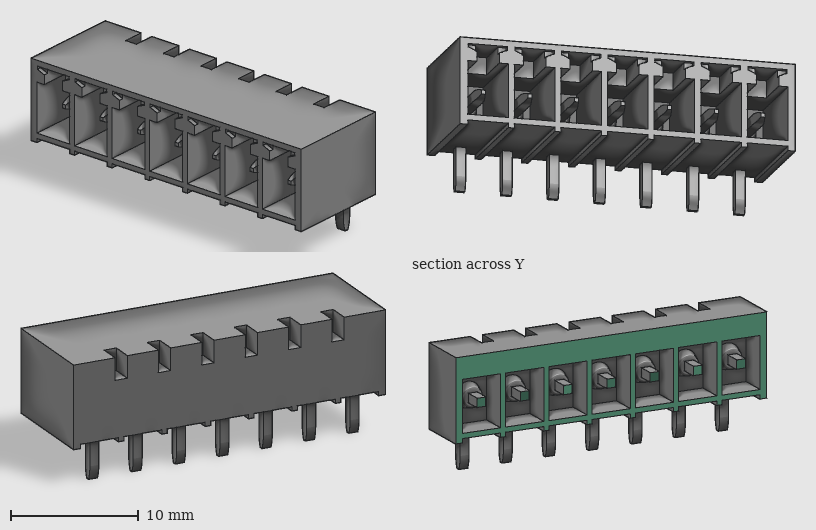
import cadquery as cq

POSITIONS = 7
LENGTH = 27.35
DEPTH = 9.2
HOUSING_HEIGHT = 7.09
PIN_DROP = 3.17
PITCH = 3.8
FIRST_PIN_X = (LENGTH - (POSITIONS - 1) * PITCH) / 2

CHAMBER_WIDTH = 3.3
CHAMBER_DEPTH = 6.95
CHAMBER_FLOOR = 0.82
CHAMBER_TOP = 5.2

KEYWAY_DEPTH = CHAMBER_DEPTH / 2
FLARE_DEPTH = 0.4
KEYWAY_WIDTH = 1.83
FLARE_WIDTH = 3.2
KEYWAY_TOP = 6.6
FLARE_RIM_HEIGHT = 0.27
FLARE_SLOPE_HEIGHT = 0.3

FOOT_HEIGHT = 0.35
NOTCH_WIDTH = 1.07
NOTCH_DEPTH = 1.92
NOTCH_FLOOR = CHAMBER_TOP

BOSS_RADIUS = 1.1
BOSS_RIM_RADIUS = 0.9
BOSS_TOP_RADIUS = 0.7
BOSS_CONE_HEIGHT = 0.68

PIN_SIZE = 0.8
PIN_TIP_SIZE = 0.33
PIN_TIP_LENGTH = 1.15
PIN_AXIS_Z = 3.12
CONTACT_FRONT_Y = 1.3
LEG_INSET = 0.9
LEG_BACK_Y = DEPTH - LEG_INSET

PIN_XS = [FIRST_PIN_X + i * PITCH for i in range(POSITIONS)]


def box(x_center, width, y_start, y_end, z_start, z_end):
    """Box centred on x_center, given by its Y and Z limits."""
    return (
        cq.Workplane("XY")
        .box(width, y_end - y_start, z_end - z_start, centered=(True, False, False))
        .translate((x_center, y_start, z_start))
    )


def make_keyway(x):
    """Slot above the chamber at x, flared sideways near the mating face."""
    half = KEYWAY_WIDTH / 2
    half_flare = FLARE_WIDTH / 2
    rim_z = KEYWAY_TOP - FLARE_RIM_HEIGHT
    slope_z = rim_z - FLARE_SLOPE_HEIGHT
    right_side = [(half, slope_z), (half_flare, rim_z), (half_flare, KEYWAY_TOP)]
    left_side = [(-px, pz) for px, pz in reversed(right_side)]
    flare = (
        cq.Workplane("XZ", origin=(x, 0, 0))
        .polyline(right_side + left_side)
        .close()
        .extrude(-FLARE_DEPTH)
    )
    slot = box(x, KEYWAY_WIDTH, 0, KEYWAY_DEPTH, CHAMBER_TOP, KEYWAY_TOP)
    return slot.union(flare)


def make_boss(x):
    """Conical boss with a rounded rim, standing on the rear wall of the chamber at x."""
    base_y = CHAMBER_DEPTH
    rim_y = base_y - BOSS_CONE_HEIGHT
    rounding = BOSS_RIM_RADIUS - BOSS_TOP_RADIUS
    top_y = rim_y - rounding
    return (
        cq.Workplane("XY")
        .moveTo(0, base_y)
        .lineTo(BOSS_RADIUS, base_y)
        .lineTo(BOSS_RIM_RADIUS, rim_y)
        .radiusArc((BOSS_TOP_RADIUS, top_y), rounding)
        .lineTo(0, top_y)
        .close()
        .revolve(360, (0, 0, 0), (0, 1, 0))
        .translate((x, 0, PIN_AXIS_Z))
    )


def make_bar(length):
    """Square bar hanging from the origin, its front and back curving in towards the lower tip."""
    half = PIN_SIZE / 2
    half_tip = PIN_TIP_SIZE / 2
    shoulder_z = PIN_TIP_LENGTH - length
    inset = half - half_tip
    tip_radius = (PIN_TIP_LENGTH**2 + inset**2) / (2 * inset)
    return (
        cq.Workplane("YZ", origin=(-half, 0, 0))
        .moveTo(-half, 0)
        .lineTo(half, 0)
        .lineTo(half, shoulder_z)
        .radiusArc((half_tip, -length), tip_radius)
        .lineTo(-half_tip, -length)
        .radiusArc((-half, shoulder_z), tip_radius)
        .close()
        .extrude(PIN_SIZE)
    )


def make_side_taper(length):
    """Plate as long as the bar whose sides narrow straight to the tip size."""
    half = PIN_SIZE / 2
    half_tip = PIN_TIP_SIZE / 2
    shoulder_z = PIN_TIP_LENGTH - length
    right_side = [(half, 0), (half, shoulder_z), (half_tip, -length)]
    left_side = [(-px, pz) for px, pz in reversed(right_side)]
    return cq.Workplane("XZ").polyline(right_side + left_side).close().extrude(half, both=True)


def make_pin(x):
    """Bent square pin: a pointed contact along Y and a leg going down from its rear end."""
    contact_length = LEG_BACK_Y - CONTACT_FRONT_Y
    contact = (
        make_bar(contact_length)
        .intersect(make_side_taper(contact_length))
        .rotate((0, 0, 0), (1, 0, 0), -90)
        .translate((x, LEG_BACK_Y, PIN_AXIS_Z))
    )
    leg = make_bar(PIN_AXIS_Z + PIN_DROP).translate((x, LEG_BACK_Y - PIN_SIZE / 2, PIN_AXIS_Z))
    return contact.union(leg)


def make_housing(pins):
    """Housing with one chamber per pin and a matching hole for each pin."""
    housing = cq.Workplane("XY").box(LENGTH, DEPTH, HOUSING_HEIGHT, centered=False)
    for x, pin in zip(PIN_XS, pins):
        housing = housing.cut(box(x, CHAMBER_WIDTH, 0, CHAMBER_DEPTH, CHAMBER_FLOOR, CHAMBER_TOP))
        housing = housing.cut(make_keyway(x))
        housing = housing.cut(box(x, CHAMBER_WIDTH, 0, DEPTH, 0, FOOT_HEIGHT))
        housing = housing.union(make_boss(x))
        housing = housing.cut(pin)
    for x in PIN_XS[:-1]:
        housing = housing.cut(
            box(x + PITCH / 2, NOTCH_WIDTH, DEPTH - NOTCH_DEPTH, DEPTH, NOTCH_FLOOR, HOUSING_HEIGHT)
        )
    return housing


pins = [make_pin(x) for x in PIN_XS]
housing = make_housing(pins)

result = cq.Compound.makeCompound([housing.solids().val(), *[pin.solids().val() for pin in pins]])